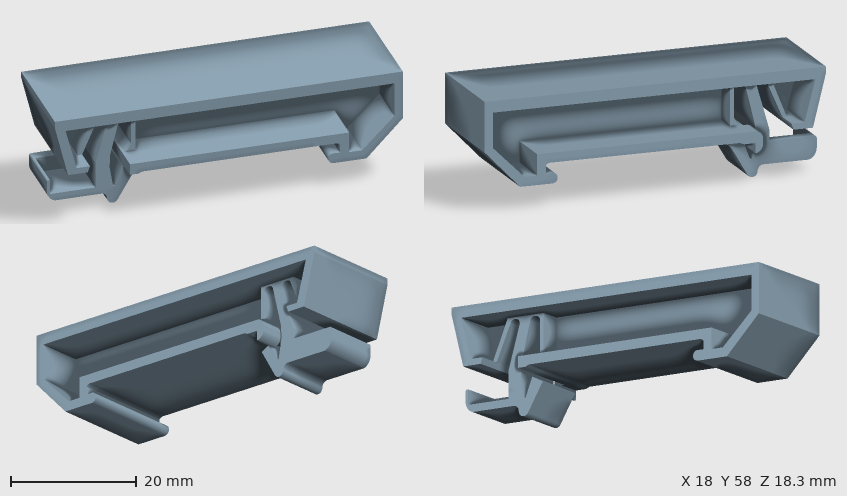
import cadquery as cq

length = 58.0
width = 18.0
height = 18.3
arm_width = 9.6
web_thickness = 2.0

arm_x = (width - arm_width) / 2
web_x = (width - web_thickness) / 2

ceiling_z = height - 1.9
slot_top_z = ceiling_z - 0.3
rail_top_z = 8.75
rail_bottom_z = rail_top_z - 1.6
end_lip_top_z = 9.45
end_lip_bottom_z = end_lip_top_z - 1.05
catch_bottom_z = 3.65
catch_floor_z = 5.2
catch_top_z = 5.4
rib_back_y = 14.75
rib_front_y = 14.05
rail_end_y = 12.5
foot_top_z = 5.75
foot_bottom_z = 1.9
arm_front_y = 8.05

recess_wall = 1.85
recess_depth = 2.55
foot_top_fillet = 0.35
recess_lip = 0.45


def extrude_profile(profile, start_x, depth):
    """Extrude a closed YZ profile along X."""
    return profile.close().extrude(depth).translate((start_x, 0, 0))


def make_shell():
    """Top plate, both end walls, rear catch and long lower rail."""
    catch_wall_y = 47.55
    profile = (
        cq.Workplane("YZ")
        .moveTo(0, height)
        .lineTo(length, height)
        .lineTo(length, 9.9)
        .lineTo(51.95, catch_bottom_z)
        .lineTo(46.45, catch_bottom_z)
        .threePointArc((45.6, 4.45), (46.7, catch_top_z))
        .lineTo(catch_wall_y, catch_top_z)
        .lineTo(catch_wall_y, 6.8)
        .threePointArc((47.25, 7.0), (46.7, rail_bottom_z))
        .lineTo(14.6, rail_bottom_z)
        .lineTo(13.9, 6.85)
        .lineTo(rail_end_y, 6.85)
        .lineTo(rail_end_y, rail_top_z)
        .lineTo(49.05, rail_top_z)
        .lineTo(49.05, catch_floor_z)
        .lineTo(51.2, catch_floor_z)
        .lineTo(56.6, 10.55)
        .lineTo(56.6, ceiling_z)
        .lineTo(1.8, ceiling_z)
        .lineTo(3.65, end_lip_top_z)
        .lineTo(5.85, end_lip_top_z)
        .lineTo(5.5, end_lip_bottom_z)
        .lineTo(2.2, end_lip_bottom_z)
        .lineTo(0, height - 1.1)
    )
    return extrude_profile(profile, 0, width)


def make_rail_hook():
    """Downturned hook on the rail end, beside the arm."""
    profile = (
        cq.Workplane("YZ")
        .moveTo(rail_end_y, rail_top_z)
        .lineTo(11.9, rail_top_z)
        .threePointArc((11.0, 8.35), (10.7, 7.3))
        .lineTo(10.7, 6.45)
        .threePointArc((11.0, 5.7), (11.65, 5.2))
        .lineTo(12.0, 5.2)
        .lineTo(12.0, 6.85)
        .lineTo(rail_end_y, 6.85)
    )
    return extrude_profile(profile, 0, arm_x)


def make_web():
    """Central web filling the long chamber and the triangular end pocket."""
    chamber = (
        cq.Workplane("YZ")
        .moveTo(rib_back_y, ceiling_z)
        .lineTo(56.6, ceiling_z)
        .lineTo(56.6, 10.55)
        .lineTo(51.2, catch_floor_z)
        .lineTo(49.05, catch_floor_z)
        .lineTo(49.05, rail_top_z)
        .lineTo(rib_back_y, rail_top_z)
    )
    end_pocket = (
        cq.Workplane("YZ")
        .moveTo(7.95, ceiling_z)
        .lineTo(1.8, ceiling_z)
        .lineTo(3.65, end_lip_top_z)
        .lineTo(5.1, end_lip_top_z)
    )
    web = extrude_profile(chamber, web_x, web_thickness)
    return web.union(extrude_profile(end_pocket, web_x, web_thickness))


def make_ribs_and_arm():
    """Upright rib, flexible latch arm with barb and foot, and diagonal rib."""
    profile = (
        cq.Workplane("YZ")
        .moveTo(rib_back_y, ceiling_z)
        .lineTo(rib_back_y, rail_top_z)
        .lineTo(rail_end_y, rail_top_z)
        .lineTo(12.95, rail_top_z)
        .threePointArc((13.6, 9.35), (rib_front_y, 10.1))
        .lineTo(rib_front_y, 15.3)
        .threePointArc((13.8, 15.9), (13.2, slot_top_z))
        .lineTo(12.95, slot_top_z)
        .threePointArc((12.45, 15.95), (12.2, 15.4))
        .lineTo(10.5, 8.6)
        .lineTo(10.45, 6.45)
        .lineTo(11.0, 2.95)
        .lineTo(11.3, 2.95)
        .lineTo(12.6, 6.25)
        .lineTo(14.55, 5.2)
        .lineTo(11.8, 0.45)
        .threePointArc((10.9, 0), (10.05, 0.85))
        .threePointArc((9.8, 1.55), (9.15, foot_bottom_z))
        .lineTo(1.35, foot_bottom_z)
        .threePointArc((0.4, 2.55), (0, 3.7))
        .lineTo(0, foot_top_z - foot_top_fillet)
        .radiusArc((foot_top_fillet, foot_top_z), foot_top_fillet)
        .lineTo(arm_front_y, foot_top_z)
        .lineTo(arm_front_y, 7.65)
        .lineTo(10.2, 15.15)
        .threePointArc((10.05, 15.85), (9.4, slot_top_z))
        .threePointArc((8.8, 15.95), (8.45, 15.4))
        .lineTo(5.85, end_lip_top_z)
        .lineTo(5.1, end_lip_top_z)
        .lineTo(7.95, ceiling_z)
    )
    return extrude_profile(profile, arm_x, arm_width)


def make_foot_recess():
    """Pocket in the foot top, open on its +X side."""
    return cq.Workplane("XY").box(
        arm_width - recess_wall,
        arm_front_y - recess_lip,
        recess_depth,
        centered=False,
    ).translate((arm_x + recess_wall, recess_lip, foot_top_z - recess_depth))


latch = make_ribs_and_arm().cut(make_foot_recess())
result = make_shell().union(make_rail_hook()).union(make_web()).union(latch)